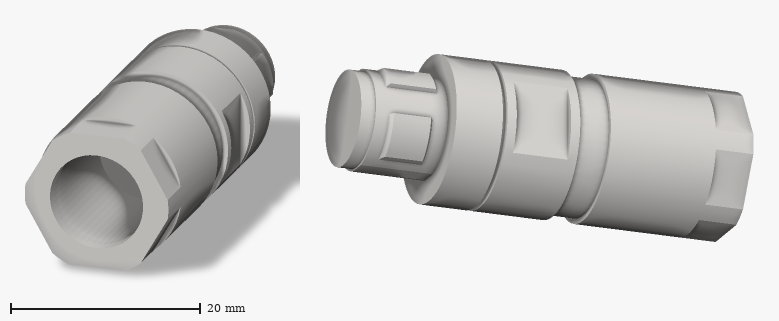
import cadquery as cq
import math

LENGTH = 43.4
BODY_DIAMETER = 16.0

HEX_ACROSS_FLATS = 14.85
NECK_DIAMETER = HEX_ACROSS_FLATS
GROOVE_DIAMETER = 14.35
PLUG_DIAMETER = 10.95
TIP_DIAMETER = 10.4
BORE_DIAMETER = 10.37

HEX_LENGTH = 4.25
BARREL_LENGTH = 11.95
NECK_LENGTH = 3.47
NUT_LENGTH = 8.25
GROOVE_WIDTH = 0.5
PLUG_LENGTH = 8.15
TIP_LENGTH = 1.55

BARREL_END = HEX_LENGTH + BARREL_LENGTH
BORE_DEPTH = BARREL_END
NUT_START = BARREL_END + NECK_LENGTH
NUT_END = NUT_START + NUT_LENGTH
COLLAR_START = NUT_END + GROOVE_WIDTH
PLUG_END = LENGTH - TIP_LENGTH
PLUG_START = PLUG_END - PLUG_LENGTH

WRENCH_FLAT_LENGTH = 6.15
WRENCH_ACROSS_FLATS = 13.9
PLUG_ACROSS_FLATS = 10.7

KEY_DIAMETER = 12.02
KEY_END_TAPER = 0.35
KEY_SINK = 0.45


def cylinder(diameter, start, end):
    """Round section about the Y axis between two stations."""
    return cq.Workplane("XZ", origin=(0, start, 0)).circle(diameter / 2).extrude(start - end)


def block(width, height, start, end):
    """Rectangular bar centred on the Y axis between two stations."""
    return cq.Workplane("XZ", origin=(0, start, 0)).rect(width, height).extrude(start - end)


def turned_body():
    """All the round sections in a row, from the cable end to the tip."""
    body = cylinder(BODY_DIAMETER, 0, BARREL_END)
    body = body.union(cylinder(NECK_DIAMETER, BARREL_END, NUT_START))
    body = body.union(cylinder(BODY_DIAMETER, NUT_START, NUT_END))
    body = body.union(cylinder(GROOVE_DIAMETER, NUT_END, COLLAR_START))
    body = body.union(cylinder(BODY_DIAMETER, COLLAR_START, PLUG_START))
    plug = cylinder(PLUG_DIAMETER, PLUG_START, PLUG_END)
    plug = plug.intersect(block(PLUG_DIAMETER, PLUG_ACROSS_FLATS, PLUG_START, PLUG_END))
    return body.union(plug).union(cylinder(TIP_DIAMETER, PLUG_END, LENGTH))


def hex_trim():
    """Material outside the hexagon at the cable end, two flats facing up and down."""
    corner_diameter = HEX_ACROSS_FLATS / math.cos(math.pi / 6)
    hexagon = cq.Workplane("XZ").polygon(6, corner_diameter).extrude(-HEX_LENGTH)
    return cylinder(2 * BODY_DIAMETER, 0, HEX_LENGTH).cut(hexagon)


def wrench_flat_trim():
    """Pockets that leave two flats on the -X and +X sides of the nut."""
    middle = (NUT_START + NUT_END) / 2
    start = middle - WRENCH_FLAT_LENGTH / 2
    end = middle + WRENCH_FLAT_LENGTH / 2
    outside = block(2 * BODY_DIAMETER, 2 * BODY_DIAMETER, start, end)
    return outside.cut(block(WRENCH_ACROSS_FLATS, 2 * BODY_DIAMETER, start, end))


def coding_key(side, top, bottom, start, end, bottom_tilt=0):
    """Raised key on the side (-1 or +1) of the plug, with tapered ends.

    Top and bottom are the heights of its flanks; a tilted bottom flank rises
    outwards from the point where it leaves the plug.
    """
    root = PLUG_DIAMETER / 2
    crest = KEY_DIAMETER / 2
    sunk = root - KEY_SINK
    sunk_taper = KEY_END_TAPER * KEY_SINK / (crest - root)
    ring = (
        cq.Workplane("XY")
        .polyline([
            (sunk, start - sunk_taper),
            (crest, start + KEY_END_TAPER),
            (crest, end - KEY_END_TAPER),
            (sunk, end + sunk_taper),
        ])
        .close()
        .revolve(360, (0, 0, 0), (0, 1, 0))
    )
    root_x = math.sqrt(root ** 2 - bottom ** 2)
    slope = math.tan(math.radians(bottom_tilt))
    sector = (
        cq.Workplane("XZ", origin=(0, PLUG_START, 0))
        .polyline([
            (0, top),
            (side * BODY_DIAMETER, top),
            (side * BODY_DIAMETER, bottom + (BODY_DIAMETER - root_x) * slope),
            (0, bottom - root_x * slope),
        ])
        .close()
        .extrude(-PLUG_LENGTH)
    )
    return ring.intersect(sector)


result = turned_body().cut(hex_trim()).cut(wrench_flat_trim())
result = result.cut(cylinder(BORE_DIAMETER, 0, BORE_DEPTH))
result = result.union(coding_key(-1, top=4.95, bottom=2.25, start=34.65, end=40.55, bottom_tilt=36))
result = result.union(coding_key(-1, top=-0.85, bottom=-4.95, start=35.4, end=40.3))
result = result.union(coding_key(1, top=3.55, bottom=-0.85, start=34.9, end=40.8))